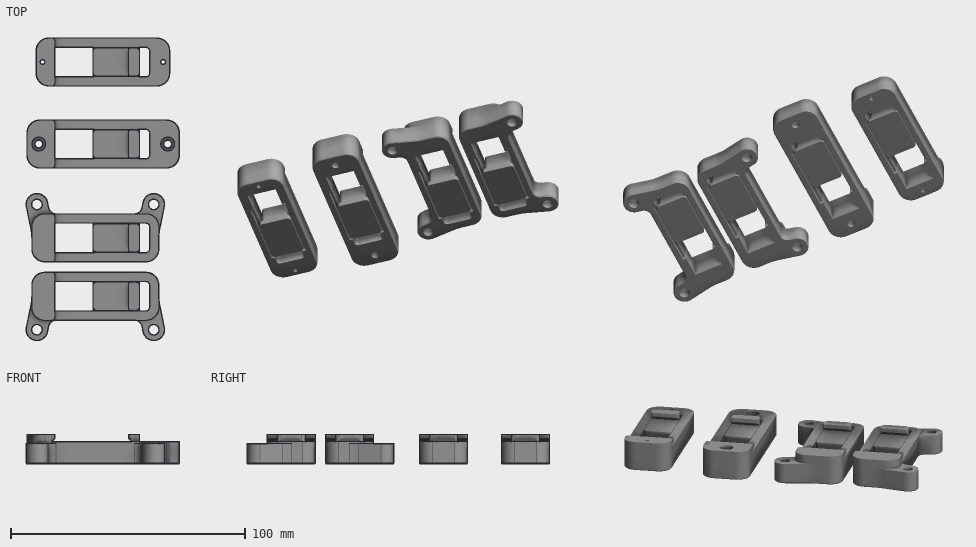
import cadquery as cq
import math

total_height = 12.7
rail_height = 9.5
ear_height = 8.8
bottom_chamfer = 0.4

opening_end = 40.5
opening_width = 12.5
opening_radius = 1.5
side_wall = 4.0
frame_width = opening_width + 2 * side_wall
frame_radius = 5.5

hook_depth = 1.4
hook_height = rail_height + hook_depth
stop_radius = 1.2

guide_start = 7.6
guide_end = 36.4
groove_depth = 0.5
groove_top = 8.7
flange_slot_depth = 1.4
flange_slot_height = 2.5

slider_start = 16.3
slider_length = 19.9
slider_width = 12.0
slider_radius = 1.5
flange_width = 14.1
flange_height = 2.2
tab_length = 4.7
tab_radius = 0.8
slider_end = slider_start + slider_length
tab_start = slider_end - tab_length

pin_frame_left = -8.0
pin_frame_right = 49.1
pin_hole_diameter = 2.0
pin_hole_inset = 2.8

screw_frame_left = -11.9
screw_frame_right = 53.2
screw_hole_diameter = 3.2
screw_head_diameter = 6.0
screw_hole_inset = 5.0
screw_seat_height = 4.0

eared_frame_left = -9.8
eared_frame_right = opening_end + side_wall
ear_radius = 4.7
ear_hole_diameter = 4.4
ear_overhang = 2.2
ear_reach = 4.0
ear_angle = 11.6
ear_inner_fillet = 3.2
ear_outer_fillet = 19.4

lower_eared_y = 0
upper_eared_y = 25.0
screw_frame_y = 65.0
pin_frame_y = 100.0


def plate(x_start, x_end, width, height, base=0):
    """Rectangular block centred on Y = 0."""
    return (
        cq.Workplane("XY")
        .box(x_end - x_start, width, height, centered=(False, True, False))
        .translate((x_start, 0, base))
    )


def hook_undercut(x_edge, depth):
    """Sloped wedge that undercuts a raised edge at x_edge; the sign of depth gives the X direction."""
    return (
        cq.Workplane("XZ")
        .moveTo(x_edge, hook_height)
        .lineTo(x_edge, rail_height)
        .lineTo(x_edge + depth, rail_height)
        .close()
        .extrude(frame_width, both=True)
    )


def end_stop(x_left):
    """Raised block at the left end, undercut on the side that faces the slider."""
    stop = plate(x_left, 0, frame_width, total_height - bottom_chamfer, bottom_chamfer)
    stop = stop.edges("|Z and <X").fillet(frame_radius).edges("|Z and >X").fillet(stop_radius)
    return stop.cut(hook_undercut(0, -hook_depth))


def opening():
    """Through opening whose long walls hold a shallow groove above a deeper flange slot."""
    hole = plate(-hook_depth, opening_end, opening_width, rail_height)
    hole = hole.edges("|Z and >X").fillet(opening_radius)
    groove = plate(guide_start, guide_end, opening_width + 2 * groove_depth, groove_top)
    flange_slot = plate(
        guide_start, guide_end, opening_width + 2 * flange_slot_depth, flange_slot_height
    )
    return hole.union(groove).union(flange_slot)


def rounded_block(x_left, x_right, height):
    """Solid block with the frame's rounded corners."""
    return plate(x_left, x_right, frame_width, height).edges("|Z").fillet(frame_radius)


def chamfer_underside(body):
    return body.faces("<Z").chamfer(bottom_chamfer)


def frame_body(x_left, x_right):
    """Rails and end stop with the opening cut through them, before any screw or pin holes."""
    rails = chamfer_underside(rounded_block(x_left, x_right, rail_height))
    return rails.union(end_stop(x_left)).cut(opening())


def vertical_hole(x, y, diameter, base=0):
    return cq.Workplane("XY", origin=(x, y, base)).circle(diameter / 2).extrude(total_height)


def pin_frame():
    frame = frame_body(pin_frame_left, pin_frame_right)
    for x in (pin_frame_left + pin_hole_inset, pin_frame_right - pin_hole_inset):
        frame = frame.cut(vertical_hole(x, 0, pin_hole_diameter))
    return frame


def screw_frame():
    frame = frame_body(screw_frame_left, screw_frame_right)
    for x in (screw_frame_left + screw_hole_inset, screw_frame_right - screw_hole_inset):
        frame = frame.cut(vertical_hole(x, 0, screw_hole_diameter))
        frame = frame.cut(vertical_hole(x, 0, screw_head_diameter, screw_seat_height))
    return frame


def arc_point(x, y, radius, angle):
    """Point on a circle centred at (x, y), by polar angle in degrees."""
    turn = math.radians(angle)
    return (x + radius * math.cos(turn), y + radius * math.sin(turn))


def ear_center():
    return (eared_frame_left + ear_overhang, frame_width / 2 + ear_reach)


def ear_outline():
    """Left ear on the +Y side, leaning outward and blended into the frame's two sides."""
    sine = math.sin(math.radians(ear_angle))
    cosine = math.cos(math.radians(ear_angle))
    side = eared_frame_left
    edge = frame_width / 2
    center_x, center_y = ear_center()

    outer_rim = (center_x - ear_radius * cosine, center_y - ear_radius * sine)
    inner_rim = (center_x + ear_radius * cosine, center_y + ear_radius * sine)
    tip = (center_x - ear_radius * sine, center_y + ear_radius * cosine)

    inner_y = edge + ear_inner_fillet
    inner_x = center_x + ((ear_radius + ear_inner_fillet) - (inner_y - center_y) * sine) / cosine

    outer_x = side - ear_outer_fillet
    outer_y = center_y - ((ear_radius + ear_outer_fillet) + (outer_x - center_x) * cosine) / sine

    return (
        cq.Workplane("XY")
        .moveTo(*outer_rim)
        .threePointArc(tip, inner_rim)
        .lineTo(*arc_point(inner_x, inner_y, ear_inner_fillet, 180 + ear_angle))
        .threePointArc(
            arc_point(inner_x, inner_y, ear_inner_fillet, 225 + ear_angle / 2),
            (inner_x, edge),
        )
        .lineTo(inner_x, 0)
        .lineTo(side + frame_radius, outer_y)
        .lineTo(side, outer_y)
        .threePointArc(
            arc_point(outer_x, outer_y, ear_outer_fillet, ear_angle / 2),
            arc_point(outer_x, outer_y, ear_outer_fillet, ear_angle),
        )
        .close()
    )


def eared_frame():
    """Frame with two screw ears on its +Y side."""
    middle_x = (eared_frame_left + eared_frame_right) / 2
    left_ear = ear_outline().extrude(ear_height)
    right_ear = left_ear.mirror("YZ", (middle_x, 0, 0))
    base = rounded_block(eared_frame_left, eared_frame_right, ear_height)
    base = chamfer_underside(base.union(left_ear).union(right_ear))
    frame = frame_body(eared_frame_left, eared_frame_right).union(base.cut(opening()))
    hole_x, hole_y = ear_center()
    for x in (hole_x, 2 * middle_x - hole_x):
        frame = frame.cut(vertical_hole(x, hole_y, ear_hole_diameter))
    return frame


def slider():
    """Sliding block with a retaining flange at its foot and a tab that hooks toward the end stop."""
    block = plate(slider_start, slider_end, slider_width, rail_height)
    block = block.edges("|Z").fillet(slider_radius)
    flange = plate(slider_start, slider_end, flange_width, flange_height)
    flange = flange.edges("|Z").fillet(slider_radius)
    tab = plate(tab_start, slider_end, slider_width, total_height - rail_height, rail_height)
    tab = tab.edges("|Z and >X").fillet(slider_radius).edges("|Z and <X").fillet(tab_radius)
    tab = tab.cut(hook_undercut(tab_start, hook_depth))
    return block.union(flange).union(tab)


lower_eared_frame = eared_frame().mirror("XZ").translate((0, lower_eared_y, 0))
upper_eared_frame = eared_frame().translate((0, upper_eared_y, 0))
screw_hole_frame = screw_frame().translate((0, screw_frame_y, 0))
pin_hole_frame = pin_frame().translate((0, pin_frame_y, 0))

sliders = [
    slider().translate((0, y, 0)).val()
    for y in (lower_eared_y, upper_eared_y, screw_frame_y, pin_frame_y)
]

result = cq.Compound.makeCompound(
    [
        lower_eared_frame.val(),
        upper_eared_frame.val(),
        screw_hole_frame.val(),
        pin_hole_frame.val(),
        *sliders,
    ]
)